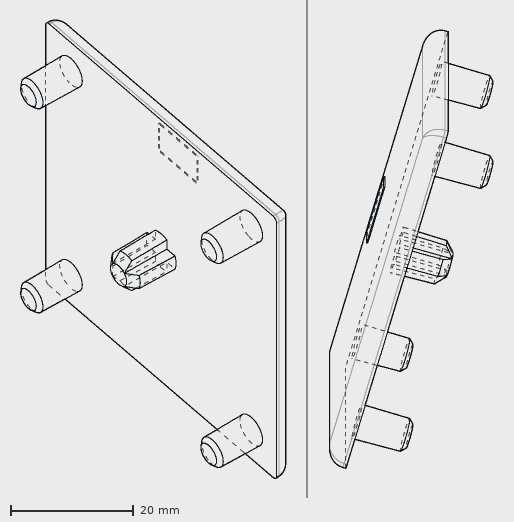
import cadquery as cq

plate_side = 59.8
plate_thickness = 3.5
edge_radius = 3.0
corner_radius = 0.95

pad_width = 9.9
pad_height = 6.2
pad_thickness = 0.2
pad_center_z = 20.05

pin_length = 8.95
corner_pin_offset = 23.3
corner_pin_base_radius = 2.95
corner_pin_end_radius = 2.8
corner_pin_tip_radius = 2.05
corner_pin_chamfer_length = 0.8

cross_base_radius = 3.9
cross_end_radius = 3.7
cross_tip_radius = 2.1
cross_chamfer_length = 1.55
cross_rib_width = 3.0


def domed_bar(workplane):
    """Bar with two rounded back edges, extruded through the full plate side."""
    half_side = plate_side / 2
    shoulder = plate_thickness - edge_radius
    flat_half = half_side - edge_radius
    arc_offset = edge_radius * 0.5 ** 0.5
    arc_x = flat_half + arc_offset
    arc_y = shoulder + arc_offset
    return (
        workplane.moveTo(-half_side, 0)
        .lineTo(half_side, 0)
        .lineTo(half_side, shoulder)
        .threePointArc((arc_x, arc_y), (flat_half, plate_thickness))
        .lineTo(-flat_half, plate_thickness)
        .threePointArc((-arc_x, arc_y), (-half_side, shoulder))
        .close()
        .extrude(half_side, both=True)
    )


def make_plate():
    """Plate rounded along all four sides, with softened corner seams."""
    bar_along_z = domed_bar(cq.Workplane("XY"))
    bar_along_x = bar_along_z.rotate((0, 0, 0), (0, 1, 0), 90)
    plate = bar_along_z.intersect(bar_along_x)
    seams = [
        edge for edge in plate.edges().vals()
        if abs(abs(edge.positionAt(0.5).x) - abs(edge.positionAt(0.5).z)) < corner_radius / 100
    ]
    return plate.newObject(seams).fillet(corner_radius)


def make_pin(base_radius, end_radius, tip_radius, chamfer_length):
    """Drafted round pin with a chamfered tip, pointing to -Y."""
    return (
        cq.Workplane("XY")
        .polyline([
            (0, 0),
            (base_radius, 0),
            (end_radius, chamfer_length - pin_length),
            (tip_radius, -pin_length),
            (0, -pin_length),
        ])
        .close()
        .revolve(360, (0, 0, 0), (0, 1, 0))
    )


def make_cross_pin():
    """Central pin cut to a four-ribbed cross section."""
    envelope = make_pin(cross_base_radius, cross_end_radius, cross_tip_radius, cross_chamfer_length)
    rib_span = 2 * cross_base_radius
    ribs = cq.Workplane("XZ").rect(rib_span, cross_rib_width).extrude(pin_length)
    ribs = ribs.union(cq.Workplane("XZ").rect(cross_rib_width, rib_span).extrude(pin_length))
    return envelope.intersect(ribs)


def make_pad():
    """Raised pad, grown from the flat of the rounded face toward +Y."""
    return (
        cq.Workplane("XZ", origin=(0, plate_thickness, pad_center_z))
        .rect(pad_width, pad_height)
        .extrude(-pad_thickness)
    )


result = make_plate().union(make_pad()).union(make_cross_pin())

corner_pin = make_pin(
    corner_pin_base_radius,
    corner_pin_end_radius,
    corner_pin_tip_radius,
    corner_pin_chamfer_length,
)
for x_side in (-1, 1):
    for z_side in (-1, 1):
        position = (x_side * corner_pin_offset, 0, z_side * corner_pin_offset)
        result = result.union(corner_pin.translate(position))